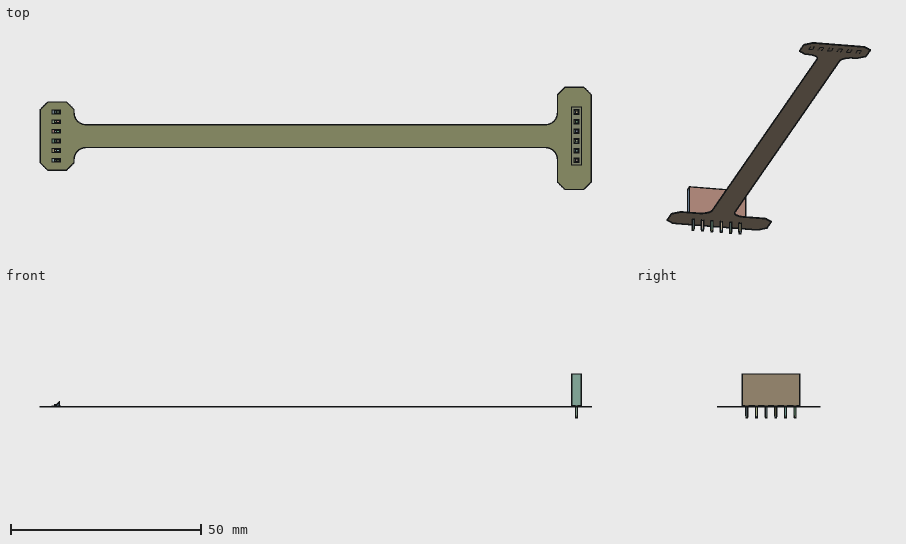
import cadquery as cq
import math

length = 145.0
sheet_thickness = 0.2
tab_length = 9.0
contact_tab_width = 18.0
header_tab_width = 27.0
strip_width = 6.1
strip_y = 0.6
tab_chamfer = 2.0
flare_radius = 3.0

positions = 6
header_length = 15.2
pitch = header_length / positions
position_y = [strip_y + (i - (positions - 1) / 2) * pitch for i in range(positions)]

contact_x = 3.2
foot_length = 2.2
foot_width = 1.0
foot_height = 0.1
tongue_width = 0.51
tongue_front = 0.6
tongue_back = 1.9
step_height = 0.5
tongue_height = 1.23
tongue_slope = 47.0

header_x = length - 3.9
header_width = pitch
header_height = 8.4
header_gap = 0.1
header_top = header_gap + header_height

socket_mouth = 1.23
socket_size = 0.65
socket_depth = 5.8
funnel_angle = 45.0
funnel_depth = (socket_mouth - socket_size) / 2 / math.tan(math.radians(funnel_angle))

overall_height = 11.6
pin_size = 0.6
pin_tip_size = 0.5
pin_tip_length = 0.6
pin_bottom = header_top - overall_height
pin_tip_top = pin_bottom + pin_tip_length
pin_tip_angle = math.degrees(math.atan2((pin_size - pin_tip_size) / 2, pin_tip_length))


def square_at_header(y, z, size):
    """Square sketch on the header's pin row at height z."""
    return cq.Workplane("XY", origin=(header_x, y, z)).rect(size, size)


def make_tab(width, x_start, y_centre):
    plate = cq.Workplane("XY").box(tab_length, width, sheet_thickness, centered=(False, True, False))
    plate = plate.edges("|Z").chamfer(tab_chamfer)
    return plate.translate((x_start, y_centre, -sheet_thickness))


def make_sheet():
    strip_length = length - 2 * tab_length
    strip = (
        cq.Workplane("XY", origin=(length / 2, strip_y, -sheet_thickness))
        .rect(strip_length, strip_width)
        .extrude(sheet_thickness)
    )
    sheet = strip.union(make_tab(contact_tab_width, 0, strip_y))
    sheet = sheet.union(make_tab(header_tab_width, length - tab_length, 0))

    margin = 0.1
    strip_corners = cq.selectors.BoxSelector(
        (tab_length - margin, strip_y - strip_width / 2 - margin, -sheet_thickness),
        (length - tab_length + margin, strip_y + strip_width / 2 + margin, 0),
    )
    sheet = sheet.edges("|Z").edges(strip_corners).fillet(flare_radius)

    for y in position_y:
        pin_hole = square_at_header(y, 0, pin_size).extrude(-sheet_thickness)
        sheet = sheet.cut(pin_hole)
    return sheet


def make_contact(y):
    foot = cq.Workplane("XY", origin=(contact_x, y, 0)).box(
        foot_length, foot_width, foot_height, centered=(False, True, False)
    )
    slope_run = (tongue_height - step_height) / math.tan(math.radians(tongue_slope))
    tongue = (
        cq.Workplane("XZ", origin=(contact_x, y + tongue_width / 2, 0))
        .moveTo(tongue_front, 0)
        .lineTo(tongue_front, step_height)
        .lineTo(tongue_back - slope_run, step_height)
        .lineTo(tongue_back, tongue_height)
        .lineTo(tongue_back, 0)
        .close()
        .extrude(tongue_width)
    )
    return foot.union(tongue)


def make_socket(y):
    funnel = square_at_header(y, header_top, socket_mouth).extrude(-funnel_depth, taper=funnel_angle)
    hole = square_at_header(y, header_top, socket_size).extrude(-socket_depth)
    return funnel.union(hole)


def make_pin(y):
    shank = square_at_header(y, header_gap, pin_size).extrude(pin_tip_top - header_gap)
    tip = square_at_header(y, pin_tip_top, pin_size).extrude(-pin_tip_length, taper=pin_tip_angle)
    return shank.union(tip)


def make_header():
    header = cq.Workplane("XY", origin=(header_x, strip_y, header_gap)).box(
        header_width, header_length, header_height, centered=(True, True, False)
    )
    for y in position_y:
        header = header.cut(make_socket(y)).union(make_pin(y))
    return header


sheet = make_sheet()
contacts = [make_contact(y) for y in position_y]
header = make_header()

result = cq.Compound.makeCompound([sheet.val(), *[contact.val() for contact in contacts], header.val()])